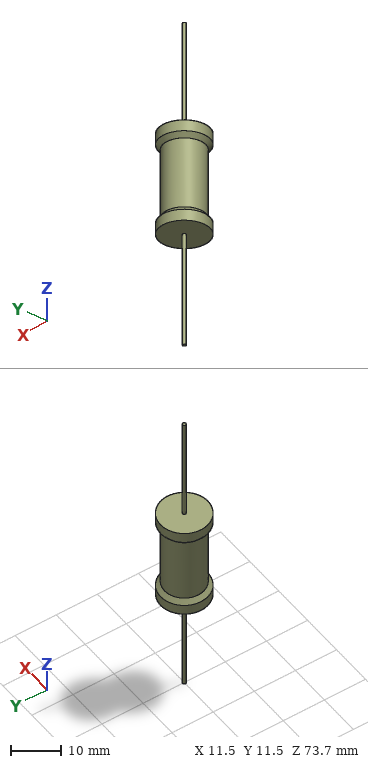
import cadquery as cq

total_length = 73.65
body_length = 23.0
lead_diameter = 0.8

cap_diameter = 11.5
barrel_diameter = 9.6
cap_rim_length = 2.5
cap_taper_length = 1.1

cap_radius = cap_diameter / 2
barrel_radius = barrel_diameter / 2
half_body = body_length / 2
rim_end = half_body - cap_rim_length
taper_end = rim_end - cap_taper_length

body = (
    cq.Workplane("XZ")
    .moveTo(0, -half_body)
    .lineTo(cap_radius, -half_body)
    .lineTo(cap_radius, -rim_end)
    .lineTo(barrel_radius, -taper_end)
    .lineTo(barrel_radius, taper_end)
    .lineTo(cap_radius, rim_end)
    .lineTo(cap_radius, half_body)
    .lineTo(0, half_body)
    .close()
    .revolve(360, (0, 0), (0, 1))
)

leads = cq.Workplane("XY").circle(lead_diameter / 2).extrude(total_length / 2, both=True)

result = body.union(leads)